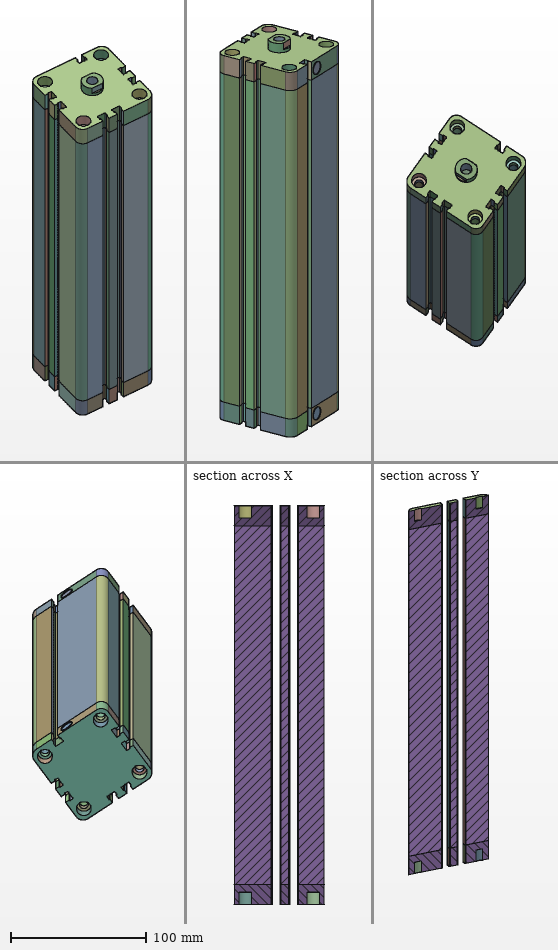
import cadquery as cq
import math

side = 67.0
total_height = 303.0
rod_projection = 7.5
cap_thickness = 14.8
corner_radius = 6.5

housing_height = total_height - rod_projection
barrel_height = housing_height - 2 * cap_thickness
top_cap_base = housing_height - cap_thickness

slot_mouth_width = 5.5
slot_channel_width = 7.0
slot_lip = 3.3
slot_depth = 6.5
outer_slot_offset = -10.5
inner_slot_offset = 2.27

screw_offset = 25.0
screw_hole_diameter = 6.7
counterbore_diameter = 11.0
counterbore_depth = 9.0

port_diameter = 10.0
port_depth = 0.5
port_inset = 8.0

rod_diameter = 16.5
rod_flat_width = 13.3
rod_flat_height = 5.0
thread_diameter = 8.2
thread_depth = 15.0
drill_point_angle = 118.0


def slot(offset, angle, base, height):
    """T-shaped slot cutter in the -Y face, turned about Z by angle."""
    half_side = side / 2
    channel_depth = slot_depth - slot_lip
    mouth = cq.Workplane("XY").box(slot_mouth_width, slot_lip, height, centered=(True, False, False))
    channel = cq.Workplane("XY").box(slot_channel_width, channel_depth, height, centered=(True, False, False))
    cutter = mouth.union(channel.translate((0, slot_lip, 0)))
    cutter = cutter.translate((offset, -half_side, base))
    return cutter.rotate((0, 0, 0), (0, 0, 1), angle)


def screw_cylinders(diameter, base, height):
    """Four cylinders on the screw hole axes."""
    return (
        cq.Workplane("XY").workplane(offset=base)
        .rect(2 * screw_offset, 2 * screw_offset, forConstruction=True).vertices()
        .circle(diameter / 2).extrude(height)
    )


def profile_block(base, height):
    """Length of the slotted square profile with its four screw holes."""
    block = cq.Workplane("XY").workplane(offset=base).rect(side, side).extrude(height)
    block = block.edges("|Z").fillet(corner_radius)
    for angle in (0, 90, 180, 270):
        block = block.cut(slot(outer_slot_offset, angle, base, height))
    for angle in (0, 90, 180):
        block = block.cut(slot(inner_slot_offset, angle, base, height))
    return block.cut(screw_cylinders(screw_hole_diameter, base, height))


def port(height):
    """Port cutter in the -X face at the given height."""
    return (
        cq.Workplane("YZ", origin=(-side / 2, 0, height))
        .circle(port_diameter / 2).extrude(port_depth)
    )


def make_barrel():
    return profile_block(cap_thickness, barrel_height)


def make_bottom_cap():
    cap = profile_block(0, cap_thickness)
    cap = cap.cut(screw_cylinders(counterbore_diameter, 0, counterbore_depth))
    return cap.cut(port(port_inset))


def make_top_cap():
    cap = profile_block(top_cap_base, cap_thickness)
    counterbore_base = housing_height - counterbore_depth
    cap = cap.cut(screw_cylinders(counterbore_diameter, counterbore_base, counterbore_depth))
    cap = cap.cut(port(housing_height - port_inset))
    rod_bore = cq.Workplane("XY").workplane(offset=top_cap_base).circle(rod_diameter / 2).extrude(cap_thickness)
    return cap.cut(rod_bore)


def make_rod():
    """Rod seated through the top cap, with two wrench flats and a drilled end."""
    rod_length = total_height - top_cap_base
    rod = cq.Workplane("XY").workplane(offset=top_cap_base).circle(rod_diameter / 2).extrude(rod_length)

    flat_base = total_height - rod_flat_height
    flat_inset = (rod_diameter - rod_flat_width) / 2
    for direction in (-1, 1):
        flat_center = direction * (rod_flat_width + flat_inset) / 2
        flat_cutter = (
            cq.Workplane("XY", origin=(flat_center, 0, flat_base))
            .rect(flat_inset, rod_diameter).extrude(rod_flat_height)
        )
        rod = rod.cut(flat_cutter)

    thread_radius = thread_diameter / 2
    point_depth = thread_radius / math.tan(math.radians(drill_point_angle / 2))
    thread_base = total_height - thread_depth
    drilled_hole = (
        cq.Workplane("XZ")
        .moveTo(0, total_height).lineTo(thread_radius, total_height)
        .lineTo(thread_radius, thread_base).lineTo(0, thread_base - point_depth)
        .close().revolve(360, (0, 0, 0), (0, 1, 0))
    )
    return rod.cut(drilled_hole)


barrel = make_barrel()
bottom_cap = make_bottom_cap()
top_cap = make_top_cap()
rod = make_rod()

result = cq.Compound.makeCompound([barrel.val(), bottom_cap.val(), top_cap.val(), rod.val()])